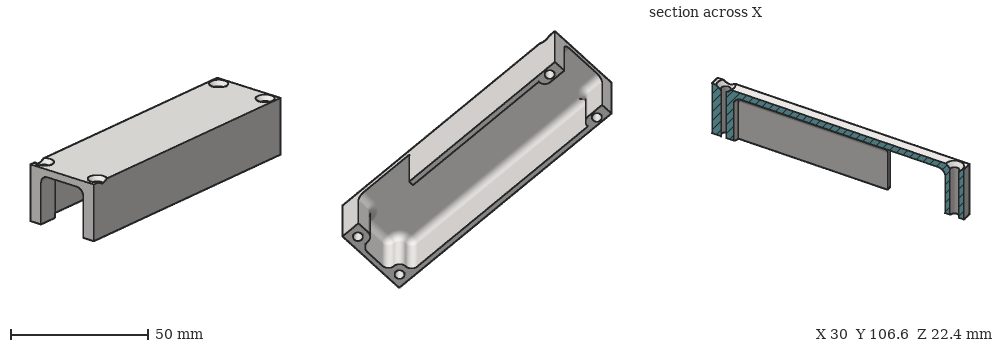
import cadquery as cq
import math

width = 30.0
length = 106.6
height = 22.4

roof = 3.0
round_radius = 3.0
front_post_width = 5.0
front_post_length = 10.0
back_post = 8.0
side_wall = front_post_width - round_radius
back_wall_thickness = back_post - 2 * round_radius
ceiling = height - roof

door_front = 73.1
door_back = length - back_post

hole_diameter = 3.6
sink_diameter = 7.0
sink_depth = (sink_diameter - hole_diameter) / 2
front_hole_inset_x = front_post_width / 2
front_hole_inset_y = front_post_length / 2
back_hole_inset = back_post / 2


def arc_middle(center_x, center_y, degrees):
    """Point on a cavity rounding at the given direction from its center."""
    angle = math.radians(degrees)
    return (
        center_x + round_radius * math.cos(angle),
        center_y + round_radius * math.sin(angle),
    )


def make_cavity():
    """Hollow between the four corner posts, open at the front and underneath."""
    r = round_radius
    mid_x = width / 2
    back_wall = length - back_wall_thickness
    post_front = length - back_post
    front_round_x = front_post_width - r
    front_round_y = front_post_length - r
    post_round_x = back_post - r
    slot_round_x = back_post + r

    half_outline = (
        cq.Workplane("XY")
        .moveTo(mid_x, -r)
        .lineTo(front_post_width, -r)
        .lineTo(front_post_width, front_round_y)
        .threePointArc(arc_middle(front_round_x, front_round_y, 45), (front_round_x, front_post_length))
        .lineTo(side_wall, post_front - r)
        .threePointArc(arc_middle(front_post_width, post_front - r, 135), (front_post_width, post_front))
        .threePointArc(arc_middle(post_round_x, post_front + r, -45), (back_post, post_front + r))
        .threePointArc(arc_middle(slot_round_x, back_wall - r, 135), (slot_round_x, back_wall))
        .lineTo(mid_x, back_wall)
        .close()
    )
    half = half_outline.extrude(ceiling)
    other_half = half.mirror("YZ", (mid_x, 0, 0))
    cavity = half.union(other_half).clean()
    return cavity.faces(">Z").edges().fillet(r)


def make_doorway():
    """Opening in the -X wall, rounded where its back side meets the ceiling."""
    return (
        cq.Workplane("XY")
        .box(side_wall + round_radius, door_back - door_front, ceiling, centered=False)
        .edges(">Y and >Z")
        .fillet(round_radius)
        .translate((0, door_front, 0))
    )


def drill_posts(body):
    """Countersunk holes down through the four corner posts."""
    rows = [
        (front_hole_inset_x, front_hole_inset_y),
        (back_hole_inset, length - back_hole_inset),
    ]
    for inset_x, y in rows:
        for x in (inset_x, width - inset_x):
            shank = cq.Workplane("XY").center(x, y).circle(hole_diameter / 2).extrude(height)
            sink = (
                cq.Workplane("XY", origin=(x, y, height))
                .circle(sink_diameter / 2)
                .workplane(offset=-sink_depth)
                .circle(hole_diameter / 2)
                .loft()
            )
            body = body.cut(shank).cut(sink)
    return body


block = cq.Workplane("XY").box(width, length, height, centered=False)
result = drill_posts(block.cut(make_cavity()).cut(make_doorway()))